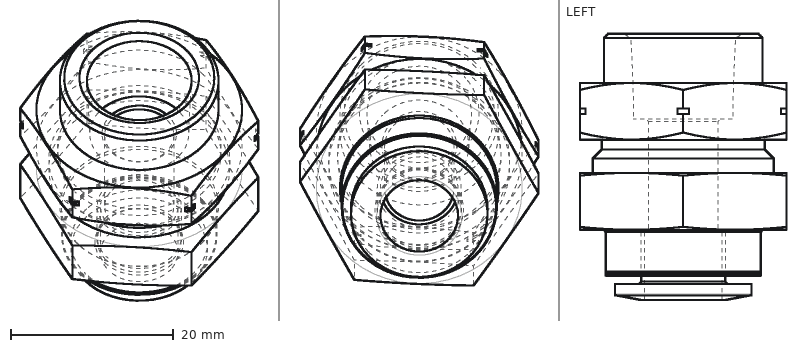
import cadquery as cq
import math

total_height = 32.7
across_flats = 25.4
across_corners = across_flats / math.cos(math.radians(30))
hex_face_diameter = 25.28

upper_diameter = 19.5
upper_chamfer = 0.52

upper_hex_bottom = 19.7
hex_height = 7.0
upper_hex_top = upper_hex_bottom + hex_height
upper_corner_drop = 0.88
corner_groove_depth = 0.4
corner_groove_height = 0.65

neck_diameter = 20.08
collar_diameter = 22.25
collar_top = 17.4
neck_bottom = collar_top + (collar_diameter - neck_diameter) / 2

lower_hex_bottom = 8.63
lower_hex_top = lower_hex_bottom + hex_height
lower_corner_drop = 0.35

lower_diameter = 19.05
lower_end = 2.95
end_chamfer = 0.1
root_diameter = 19.5
root_height = 0.3
ring_groove_bottom = 3.25
ring_groove_height = 0.25
ring_groove_depth = 0.1

mouth_diameter = 14.68
mouth_depth = 0.52
port_diameter = 12.85
port_floor_diameter = 12.15
port_depth = 10.45
bore_diameter = 8.5
bore_chamfer = 0.33

stem_diameter = 10.33
sleeve_bore_diameter = 9.5
stem_top = lower_hex_bottom
flange_diameter = 16.8
flange_top = 2.0
flange_edge_bottom = 0.75
flange_edge_height = 0.15
flange_edge_inset = 0.03
flange_face_diameter = 10.45
stem_root_cone = 0.25


def revolve(points):
    """Revolve a closed outline of (radius, z) points about the Z axis."""
    return cq.Workplane("XZ").polyline(points).close().revolve(360, (0, 0, 0), (0, 1, 0))


def make_hexagon(bottom, corner_drop):
    """Hexagon with corners on X, its corners bevelled conically at both ends."""
    top = bottom + hex_height
    face_radius = hex_face_diameter / 2
    corner_radius = across_corners / 2
    prism = cq.Workplane("XY").workplane(offset=bottom).polygon(6, across_corners).extrude(hex_height)
    bevel = revolve([
        (0, bottom),
        (face_radius, bottom),
        (corner_radius, bottom + corner_drop),
        (corner_radius, top - corner_drop),
        (face_radius, top),
        (0, top),
    ])
    return prism.intersect(bevel)


def make_corner_grooves():
    """Annular cutter that notches only the corners of the upper hexagon."""
    middle = (upper_hex_bottom + upper_hex_top) / 2
    floor_radius = across_corners / 2 - corner_groove_depth
    return (
        cq.Workplane("XY")
        .workplane(offset=middle - corner_groove_height / 2)
        .circle(across_corners)
        .circle(floor_radius)
        .extrude(corner_groove_height)
    )


def make_round_core():
    """All the turned outside surfaces of the housing."""
    lower_radius = lower_diameter / 2
    groove_radius = lower_radius - ring_groove_depth
    return revolve([
        (0, lower_end),
        (lower_radius - end_chamfer, lower_end),
        (lower_radius, lower_end + end_chamfer),
        (lower_radius, ring_groove_bottom),
        (groove_radius, ring_groove_bottom),
        (lower_radius, ring_groove_bottom + ring_groove_height),
        (lower_radius, lower_hex_bottom - root_height),
        (root_diameter / 2, lower_hex_bottom),
        (root_diameter / 2, lower_hex_top),
        (collar_diameter / 2, lower_hex_top),
        (collar_diameter / 2, collar_top),
        (neck_diameter / 2, neck_bottom),
        (neck_diameter / 2, upper_hex_bottom),
        (upper_diameter / 2, upper_hex_bottom),
        (upper_diameter / 2, total_height - upper_chamfer),
        (upper_diameter / 2 - upper_chamfer, total_height),
        (0, total_height),
    ])


def make_passage():
    """Tapered port, through bore and the recess that holds the sleeve stem."""
    port_floor = total_height - port_depth
    return revolve([
        (0, lower_end),
        (stem_diameter / 2, lower_end),
        (stem_diameter / 2, stem_top),
        (bore_diameter / 2, stem_top),
        (bore_diameter / 2, port_floor - bore_chamfer),
        (bore_diameter / 2 + bore_chamfer, port_floor),
        (port_floor_diameter / 2, port_floor),
        (port_diameter / 2, total_height - mouth_depth),
        (mouth_diameter / 2, total_height),
        (0, total_height),
    ])


def make_housing():
    upper_hexagon = make_hexagon(upper_hex_bottom, upper_corner_drop).cut(make_corner_grooves())
    lower_hexagon = make_hexagon(lower_hex_bottom, lower_corner_drop)
    return make_round_core().union(upper_hexagon).union(lower_hexagon).cut(make_passage())


def make_release_sleeve():
    """Flanged tube that slides into the lower end of the housing."""
    flange_radius = flange_diameter / 2
    stem_radius = stem_diameter / 2
    return revolve([
        (sleeve_bore_diameter / 2, 0),
        (flange_face_diameter / 2, 0),
        (flange_radius - flange_edge_inset, flange_edge_bottom - flange_edge_height),
        (flange_radius, flange_edge_bottom),
        (flange_radius, flange_top),
        (stem_radius + stem_root_cone, flange_top),
        (stem_radius, flange_top + stem_root_cone),
        (stem_radius, stem_top),
        (sleeve_bore_diameter / 2, stem_top),
    ])


housing = make_housing()
release_sleeve = make_release_sleeve()
result = cq.Compound.makeCompound([housing.solids().val(), release_sleeve.val()])